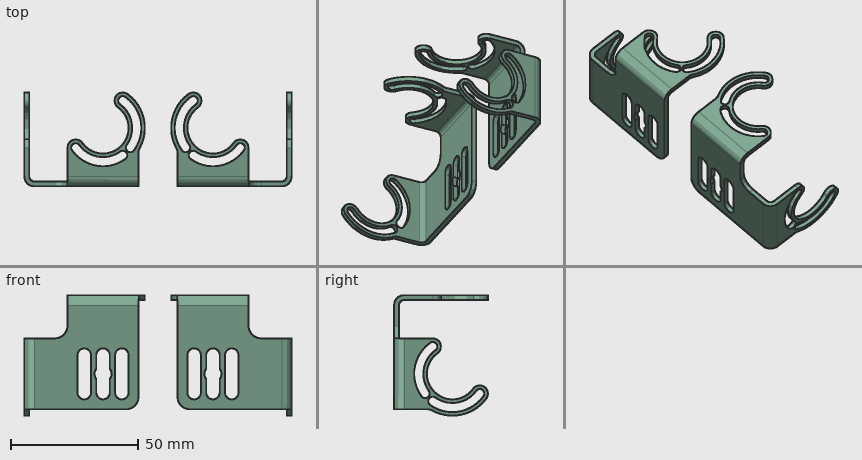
import cadquery as cq
import math


pair_width = 105.24
outer_x = -pair_width / 2

thickness = 2.0
bend_radius = 4.0
inner_bend_radius = bend_radius - thickness
plate_size = 45.0
arm_width = 28.0
corner_radius = 5.0

bore_radius = 10.0
ring_radius = 16.5
shoulder_radius = 3.0
rim = 1.5
ring_center_y = 23.0
tip_radius = (ring_radius - bore_radius) / 2
slot_path_radius = (ring_radius + bore_radius) / 2
ring_slot_radius = tip_radius - rim
ring_slot_sweep = 90.0

overhang = ring_radius - arm_width / 2
bracket_size = plate_size + overhang
center_x = outer_x + bracket_size - ring_radius
center_z = ring_radius
inner_x = outer_x + plate_size

tip_angle = math.degrees(math.acos((arm_width / 2 - tip_radius) / slot_path_radius))
near_tip_angle = tip_angle - 180
far_tip_angle = 90 - tip_angle
ring_middle_angle = -45.0

opening_width = 5.2
opening_length = 20.0
opening_pitch = 7.4
center_hole_diameter = 6.6


def ring_point(radius, angle):
    """Point at a radius and an angle in degrees about the ring centre, with X measured from the centre."""
    a = math.radians(angle)
    return (radius * math.cos(a), ring_center_y + radius * math.sin(a))


def round_corner(body, direction, corner, radius):
    """Round the sharp edge that passes through the corner point and runs along the given axis."""
    near = cq.selectors.NearestToPointSelector(corner)
    return body.edges(f"|{direction}").edges(near).fillet(radius)


def arm_flat():
    """Flat part of the top arm beyond its bend, running into the open ring with its two curved slots."""
    half_width = arm_width / 2
    near_tip_x, near_tip_y = ring_point(slot_path_radius, near_tip_angle)
    far_tip_x, far_tip_y = ring_point(slot_path_radius, far_tip_angle)
    shoulder_y = ring_center_y - math.sqrt(ring_radius ** 2 - half_width ** 2)

    tip_direction = math.radians(far_tip_angle + 90)
    far_end = (
        far_tip_x + tip_radius * math.cos(tip_direction),
        far_tip_y + tip_radius * math.sin(tip_direction),
    )

    base = cq.Workplane("XY", origin=(center_x, 0, bracket_size - thickness))
    flat = (
        base.moveTo(-half_width, bend_radius)
        .lineTo(-half_width, near_tip_y)
        .threePointArc((near_tip_x, near_tip_y + tip_radius), ring_point(bore_radius, near_tip_angle))
        .threePointArc(ring_point(bore_radius, ring_middle_angle), ring_point(bore_radius, far_tip_angle))
        .threePointArc(far_end, ring_point(ring_radius, far_tip_angle))
        .threePointArc(ring_point(ring_radius, 0), (half_width, shoulder_y))
        .lineTo(half_width, bend_radius)
        .close()
        .extrude(thickness)
    )
    shoulder = (center_x + half_width, shoulder_y, bracket_size - thickness / 2)
    flat = round_corner(flat, "Z", shoulder, shoulder_radius)
    for start in (near_tip_angle, far_tip_angle - ring_slot_sweep):
        flat = flat.cut(curved_slot(base, start))
    return flat


def curved_slot(base, start):
    """Round-ended slot following the ring from the start angle."""
    end = start + ring_slot_sweep
    middle = (start + end) / 2
    outer = slot_path_radius + ring_slot_radius
    inner = slot_path_radius - ring_slot_radius
    slot = (
        base.moveTo(*ring_point(inner, start))
        .threePointArc(ring_point(inner, middle), ring_point(inner, end))
        .lineTo(*ring_point(outer, end))
        .threePointArc(ring_point(outer, middle), ring_point(outer, start))
        .close()
        .extrude(thickness)
    )
    ends = [ring_point(slot_path_radius, start), ring_point(slot_path_radius, end)]
    return slot.union(base.pushPoints(ends).circle(ring_slot_radius).extrude(thickness))


def upright_and_bend():
    """Upright strip of the plate under the top arm, with the bend that leads into the arm."""
    top = bracket_size
    bottom = overhang
    turn = math.sqrt(0.5)
    bend_z = top - bend_radius
    return (
        cq.Workplane("YZ", origin=(inner_x - arm_width, 0, 0))
        .moveTo(0, bottom)
        .lineTo(0, bend_z)
        .threePointArc((bend_radius * (1 - turn), bend_z + bend_radius * turn), (bend_radius, top))
        .lineTo(bend_radius, top - thickness)
        .threePointArc(
            (bend_radius - inner_bend_radius * turn, bend_z + inner_bend_radius * turn), (thickness, bend_z)
        )
        .lineTo(thickness, bottom)
        .close()
        .extrude(arm_width)
    )


def plate_openings():
    """Three upright slots, the middle one widened by a round hole at its centre."""
    base = cq.Workplane("XZ", origin=(center_x, thickness, center_z))
    slots = (
        base.rarray(opening_pitch, 1, 3, 1)
        .slot2D(opening_length, opening_width, 90)
        .extrude(thickness)
    )
    return slots.union(base.circle(center_hole_diameter / 2).extrude(thickness))


def make_left_bracket():
    """Left bracket: the top arm and its reflection in the plate's diagonal, which is the side arm."""
    top_arm = upright_and_bend().union(arm_flat())
    side_arm = top_arm.mirror(cq.Vector(1, 0, 1), (outer_x, 0, bracket_size))
    body = top_arm.union(side_arm)
    for x, z in ((inner_x, overhang), (inner_x - arm_width, overhang + arm_width)):
        body = round_corner(body, "Y", (x, thickness / 2, z), corner_radius)
    return body.cut(plate_openings())


left_bracket = make_left_bracket()
right_bracket = left_bracket.mirror("YZ")

result = cq.Compound.makeCompound([left_bracket.val(), right_bracket.val()])